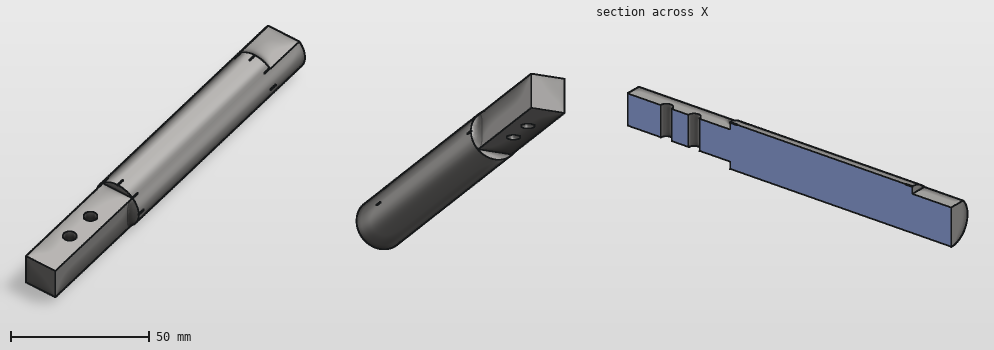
import cadquery as cq
import math

shaft_diameter = 19.05
shaft_length = 101.6
total_length = 148.59
tang_width = 13.2
flat_length = 17.78
flat_height = 6.53
blend_radius = 3.175
blend_sections = 7
hole_diameter = 4.98
hole_spacing = 12.7
first_hole_from_end = 17.78
mark_length = 3.175
mark_width = 0.25
mark_depth = 0.25
mark_angles = (-90, -45, 0, 45, 90)

shaft_radius = shaft_diameter / 2
half_tang = tang_width / 2
tang_length = total_length - shaft_length
tang_end = -total_length / 2
shoulder = tang_end + tang_length
shaft_end = total_length / 2
flat_step = shaft_end - flat_length


def make_shaft():
    """Round shaft along Y with a flat cut into the top of its +Y end."""
    shaft = cq.Workplane("XZ", origin=(0, shoulder, 0)).circle(shaft_radius).extrude(-shaft_length)
    shaft = shaft.rotate((0, 0, 0), (0, 1, 0), 90)
    cutter = cq.Workplane("XY", origin=(0, flat_step, flat_height)).box(
        shaft_diameter, flat_length, shaft_radius, centered=(True, False, False)
    )
    return shaft.cut(cutter)


def make_tang():
    """Square tang from the shoulder to the -Y end."""
    return cq.Workplane("XZ", origin=(0, tang_end, 0)).rect(tang_width, tang_width).extrude(-tang_length)


def blend_section(side, z):
    """XY section of the blend: an arc tangent to the tang side that ends on the shoulder's round edge."""
    width = math.sqrt(shaft_radius**2 - z**2) - half_tang
    length = math.sqrt(blend_radius**2 - (blend_radius - width) ** 2)
    half_angle = math.asin(length / blend_radius) / 2
    mid_x = half_tang + blend_radius * (1 - math.cos(half_angle))
    mid_y = shoulder - length + blend_radius * math.sin(half_angle)
    section = (
        cq.Workplane("XY", origin=(0, 0, z))
        .moveTo(side * half_tang, shoulder)
        .lineTo(side * half_tang, shoulder - length)
        .threePointArc((side * mid_x, mid_y), (side * (half_tang + width), shoulder))
        .close()
    )
    return section.val()


def make_blend(side):
    """Concave blend between the shoulder's round edge and one X side of the tang."""
    step = tang_width / (blend_sections - 1)
    heights = [-half_tang + i * step for i in range(blend_sections)]
    return cq.Workplane(cq.Solid.makeLoft([blend_section(side, z) for z in heights]))


def make_holes():
    """Two cross holes through the tang along Z."""
    first_hole = tang_end + first_hole_from_end
    return (
        cq.Workplane("XY", origin=(0, 0, -half_tang))
        .pushPoints([(0, first_hole), (0, first_hole + hole_spacing)])
        .circle(hole_diameter / 2)
        .extrude(tang_width)
    )


def make_marks():
    """Shallow index grooves at the shoulder and at the step of the flat."""
    marks = cq.Workplane("XY")
    for start in (shoulder, flat_step - mark_length):
        groove = cq.Workplane("XY", origin=(0, start, shaft_radius)).box(
            mark_width, mark_length, 2 * mark_depth, centered=(True, False, True)
        )
        for angle in mark_angles:
            marks = marks.add(groove.rotate((0, 0, 0), (0, 1, 0), angle))
    return marks.combine()


result = make_shaft().cut(make_marks()).union(make_tang())
for side in (-1, 1):
    result = result.union(make_blend(side))
result = result.cut(make_holes())